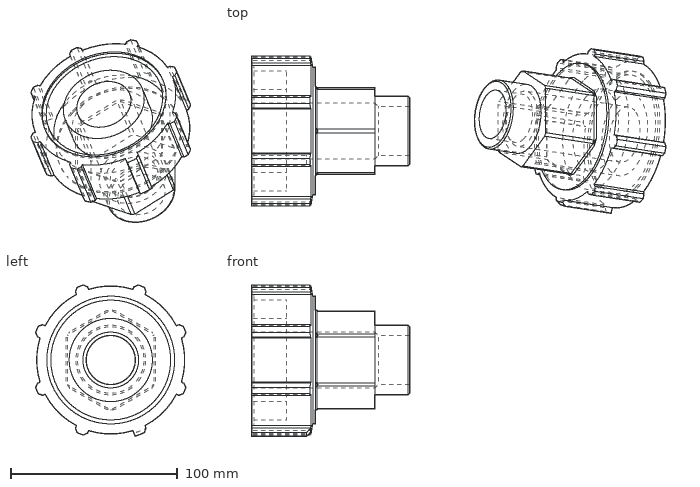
import cadquery as cq
import math


nut_cone_end_x = 36.7
collar_end_x = 38.2
hex_end_x = 74.0
total_length = 95.0

nut_diameter = 89.0
nut_end_angle = 10.0
collar_diameter = 76.8

rib_count = 8
rib_pitch = 360 / rib_count
rib_width = 8.0
rib_top_radius = 48.08
rib_root_radius = 42.0
rib_chamfer = 2.0
odd_rib_index = 3

mouth_diameter = collar_diameter
mouth_depth = 1.5
cavity_diameter = 72.0
cavity_depth = 20.8
boss_diameter = 50.0

hex_across_flats = 52.0
hex_corner_diameter = 58.8
hex_base_flare = 1.0
hex_base_diameter = 59.8

spigot_diameter = 41.91
spigot_chamfer = 1.0
bore_entry_diameter = 33.53
bore_exit_diameter = 29.34
bore_cone_x = hex_end_x


def cylinder(diameter, start_x, end_x):
    """Solid cylinder on the X axis."""
    return cq.Workplane("YZ", origin=(start_x, 0, 0)).circle(diameter / 2).extrude(end_x - start_x)


def turned(outline):
    """Solid made by closing an outline and turning it about the X axis."""
    return outline.close().revolve(360, (0, 0, 0), (1, 0, 0))


def end_cone_envelope():
    """Cylinder clear of the ribs, closed by the shallow cone on the far end of the nut."""
    radius = rib_top_radius + rib_width
    collar_radius = collar_diameter / 2
    cone_length = (radius - collar_radius) * math.tan(math.radians(nut_end_angle))
    return turned(
        cq.Workplane("XY")
        .lineTo(0, radius)
        .lineTo(nut_cone_end_x - cone_length, radius)
        .lineTo(nut_cone_end_x, collar_radius)
        .lineTo(nut_cone_end_x, 0)
    )


def square_rib():
    """Full-length rib pointing along +Z, with sharp edges and an arched top."""
    block = cq.Workplane("XY").box(nut_cone_end_x, rib_width, rib_top_radius, centered=(False, True, False))
    arched = block.intersect(cylinder(2 * rib_top_radius, 0, nut_cone_end_x))
    return arched.cut(cylinder(2 * rib_root_radius, 0, nut_cone_end_x))


def regular_rib():
    """Rib with both long outer edges chamfered."""
    return square_rib().faces(">Z").edges("|X").chamfer(rib_chamfer)


def odd_rib():
    """Rib with the +Y long edge and the far end edge chamfered, the -Y long edge sharp."""
    rib = square_rib().intersect(end_cone_envelope())
    return rib.faces(">Z").edges(">Y or >X").chamfer(rib_chamfer)


def union_nut():
    """Ribbed nut with a shallow conical end and a collar."""
    nut = cylinder(nut_diameter, 0, nut_cone_end_x)
    for index in range(rib_count):
        rib = odd_rib() if index == odd_rib_index else regular_rib()
        angle = (index + 0.5) * rib_pitch
        nut = nut.union(rib.rotate((0, 0, 0), (1, 0, 0), angle))
    nut = nut.intersect(end_cone_envelope())
    return nut.union(cylinder(collar_diameter, 0, collar_end_x))


def nut_cavity():
    """Stepped annular cavity that leaves the boss standing in the middle."""
    mouth = cylinder(mouth_diameter, 0, mouth_depth)
    cavity = cylinder(cavity_diameter, 0, cavity_depth)
    return mouth.union(cavity).cut(cylinder(boss_diameter, 0, cavity_depth))


def hex_on_collar(across_flats, height, taper=0):
    """Hexagon rising from the collar, with two flats facing +Y and -Y."""
    across_corners = across_flats / math.cos(math.pi / 6)
    section = cq.Workplane("YZ", origin=(collar_end_x, 0, 0)).transformed(rotate=(0, 0, 90))
    return section.polygon(6, across_corners).extrude(height, taper=taper)


def wrench_hex():
    """Hexagon with trimmed corners and a 45 degree flare where it meets the collar."""
    prism = hex_on_collar(hex_across_flats, hex_end_x - collar_end_x)
    prism = prism.intersect(cylinder(hex_corner_diameter, collar_end_x, hex_end_x))
    flare = hex_on_collar(hex_across_flats + 2 * hex_base_flare, 2 * hex_base_flare, taper=45)
    flare = flare.intersect(cylinder(hex_base_diameter, collar_end_x, hex_end_x))
    return prism.union(flare)


def spigot():
    """Plain round end with a chamfered rim."""
    return cylinder(spigot_diameter, hex_end_x, total_length).faces(">X").chamfer(spigot_chamfer)


def stepped_bore():
    """Through bore, wide from the boss face and narrowing over a short 45 degree cone."""
    entry_radius = bore_entry_diameter / 2
    exit_radius = bore_exit_diameter / 2
    cone_length = entry_radius - exit_radius
    return turned(
        cq.Workplane("XY")
        .lineTo(0, entry_radius)
        .lineTo(bore_cone_x, entry_radius)
        .lineTo(bore_cone_x + cone_length, exit_radius)
        .lineTo(total_length, exit_radius)
        .lineTo(total_length, 0)
    )


body = union_nut().cut(nut_cavity()).union(wrench_hex()).union(spigot())
result = body.cut(stepped_bore())